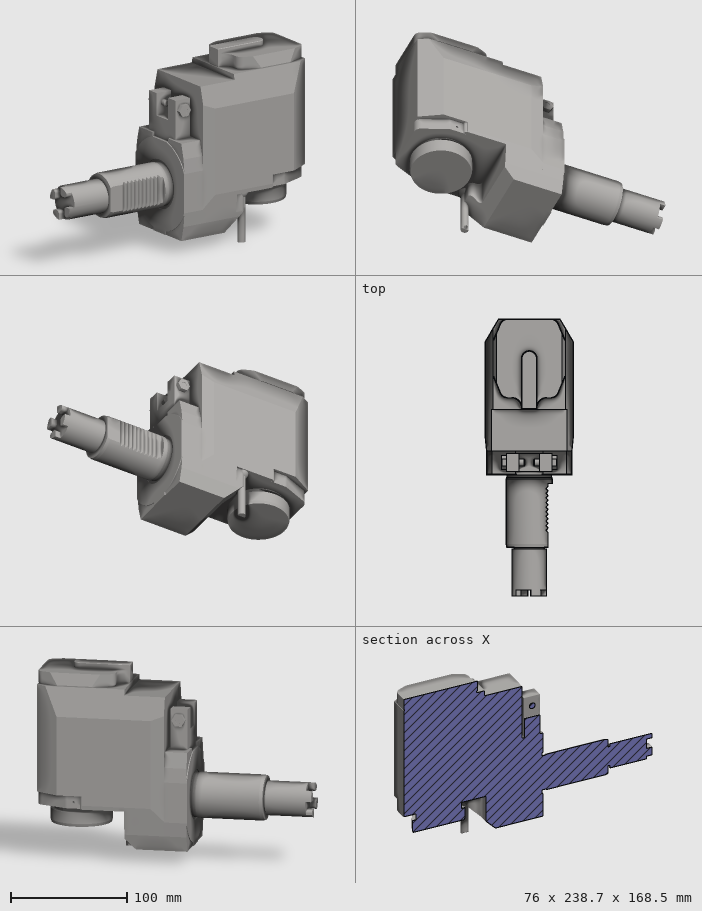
import cadquery as cq
import math


half_width = 38.0
housing_back = 134.2
housing_front = 20.3
housing_top = 97.0
step_top = 92.0
step_y = 56.1
housing_bottom = -9.5
taper_start_z = 71.7
top_taper = 0.263
lower_taper_z = -6.0
back_corner_x = 26.5
back_corner_y = 114.6
front_bevel = 1.2
front_bevel_y = 32.0

lump_bottom = -43.7
lump_shoulder_z = -30.3
lump_shoulder_x = 35.3
lump_bottom_x = 32.0
lump_back = 55.5
ramp_start_y = 45.9
boss_back = 66.0
boss_left = 16.7
boss_right = 35.8
boss_corner_radius = 4.5
boss_root_radius = 3.8

flange_front = 0.7
flange_half_width = 36.8
flange_side_z = 17.7
notch_half_width = 12.0
notch_bottom = 40.1
face_disc_radius = 41.5
face_bar_half_width = 8.8
seal_groove_diameter = 44.2
seal_groove_depth = 1.0

shank_diameter = 40.0
shank_end_diameter = 38.7
shank_relief_end = -2.1
shank_cone_end = -3.8
shank_chamfer_y = -59.7
shank_end = -62.5
neck_diameter = 26.0
drive_start = -63.8
drive_diameter = 30.0
drive_end = -104.5
flat_x = 16.2
flat_start = -7.6
tooth_count = 10
tooth_pitch = 4.0
tooth_depth = 1.7
first_tooth_y = -12.0
lug_length = 5.3
lug_near = 1.2
lug_far = 10.0
lug_root = 7.2
lug_corner_radius = 2.6

spindle_y = 100.3
plate_half_width = 34.6
plate_half_flat = 6.7
plate_half_length = housing_back - spindle_y
plate_end_x = 23.5
plate_corner_radius = 6.5
plate_side_radius = 4.8
plate_bottom = 98.0
plate_top = 108.5
plate_gap_inset = 0.5
key_half_width = 6.7
key_top = 113.5
key_front = 56.5
key_fillet = 8.8
key_chamfer = 0.5
foot_top = 2.1
recess_front = 92.2
recess_end_radius = 2.5
foot_hole_diameter = 2.1
foot_hole_z = -4.0
foot_hole_depth = 2.5

nose_neck_diameter = 47.8
nose_diameter = 54.0
nose_neck_end = -15.0
nose_bottom = -27.5
nose_chamfer = 0.7
nose_chamfer_height = 2.6
nose_flat_x = 20.5
nose_flat_top = -10.3

clevis_half_width = 19.8
clevis_back = 18.2
clevis_front = 2.9
clevis_top = 79.0
clevis_slot_half_width = 8.8
clevis_slot_bottom = 59.0
screw_y = 10.5
screw_z = 69.7
screw_head_flats = 10.3
screw_head_length = 4.0
screw_hole_diameter = 5.0
screw_hole_depth = 0.5
screw_tip_diameter = 6.0
screw_tip_length = 5.3
screw_tip_chamfer = 1.0

nozzle_x = 31.0
nozzle_y = 64.3
nozzle_diameter = 7.0
nozzle_bottom = -55.0
nozzle_cut = 2.5
nozzle_hole_diameter = 3.3
nozzle_hole_depth = 2.9
nozzle_ball_radius = 5.7

overlap = 2.5


def box(x0, x1, y0, y1, z0, z1):
    return cq.Workplane("XY").box(x1 - x0, y1 - y0, z1 - z0, centered=False).translate((x0, y0, z0))


def mirrored(half):
    """Closes an outline from its +X half by adding the reflected points."""
    return half + [(-x, v) for x, v in reversed(half)]


def prism_along_y(points, y_front, y_back):
    return cq.Workplane("XZ").polyline(points).close().extrude(y_front - y_back).translate((0, y_front, 0))


def cylinder_along_y(diameter, y_front, y_back):
    return cq.Workplane("XZ").circle(diameter / 2).extrude(y_front - y_back).translate((0, y_front, 0))


def cylinder_along_z(diameter, x, y, z_bottom, z_top):
    return cq.Workplane("XY").circle(diameter / 2).extrude(z_top - z_bottom).translate((x, y, z_bottom))


def cross_section():
    """Housing cross-section carried up to the top of the plate, so that the plate shares its taper."""
    top_x = half_width - top_taper * (plate_top - taper_start_z)
    half = [
        (top_x, plate_top),
        (half_width, taper_start_z),
        (half_width, lower_taper_z),
        (lump_shoulder_x, lump_shoulder_z),
        (lump_bottom_x, lump_bottom),
    ]
    return prism_along_y(mirrored(half), housing_front, housing_back)


def plate(z_bottom, z_top):
    """Plate outline centred on the spindle, with sloping shoulders and rounded corners."""
    half = [
        (plate_end_x, plate_half_length),
        (plate_half_width, plate_half_flat),
        (plate_half_width, -plate_half_flat),
        (plate_end_x, -plate_half_length),
    ]
    solid = cq.Workplane("XY").polyline(mirrored(half)).close().extrude(z_top - z_bottom)
    solid = solid.edges("|Z and (>X or <X)").fillet(plate_side_radius)
    solid = solid.edges("|Z and (>Y or <Y)").fillet(plate_corner_radius)
    return solid.translate((0, spindle_y, z_bottom))


def housing():
    corners = mirrored([
        (back_corner_x, housing_back),
        (half_width, back_corner_y),
        (half_width, front_bevel_y),
        (half_width - front_bevel, housing_front),
    ])
    plan = cq.Workplane("XY").polyline(corners).close()
    solid = plan.extrude(housing_top - housing_bottom).translate((0, 0, housing_bottom))
    return solid.cut(box(-half_width, half_width, housing_front, step_y, step_top, housing_top))


def foot_recess():
    """Band cut round the lower back of the housing, leaving the foot with the plate outline."""
    band = box(-half_width, half_width, recess_front, housing_back, housing_bottom, foot_top)
    band = band.cut(plate(housing_bottom, foot_top))
    for side in (-1, 1):
        inner = side * plate_half_width
        fill = (
            cq.Workplane("XY")
            .moveTo(inner, recess_front)
            .lineTo(inner, recess_front + recess_end_radius)
            .radiusArc((inner + side * recess_end_radius, recess_front), side * recess_end_radius)
            .close()
            .extrude(foot_top - housing_bottom)
        )
        band = band.cut(fill.translate((0, 0, housing_bottom)))
    return band


def lump():
    """Lower lump with a rounded boss at the nozzle and a 45 degree ramp under its back."""
    height = housing_bottom - lump_bottom
    plan = [
        (front_bevel - half_width, housing_front),
        (-half_width, front_bevel_y),
        (-half_width, lump_back),
        (boss_left, lump_back),
        (boss_left, boss_back),
        (boss_right, boss_back),
        (boss_right, lump_back),
        (half_width, lump_back),
        (half_width, front_bevel_y),
        (half_width - front_bevel, housing_front),
    ]
    solid = cq.Workplane("XY").polyline(plan).close().extrude(height)
    solid = solid.edges("|Z and >Y").fillet(boss_corner_radius)
    root = cq.selectors.NearestToPointSelector((boss_left, lump_back, height / 2))
    solid = solid.edges(root).fillet(boss_root_radius)
    ramp_rise = boss_back - ramp_start_y
    ramp = (
        cq.Workplane("YZ")
        .polyline([(ramp_start_y, 0), (boss_back, ramp_rise), (boss_back, 0)])
        .close()
        .extrude(half_width, both=True)
    )
    return solid.cut(ramp).translate((0, 0, lump_bottom))


def top_plate():
    """Tapered plate with a key stem at its front, raised on a slightly smaller spacer."""
    key_stem = box(-key_half_width, key_half_width, key_front, spindle_y, plate_bottom, plate_top)
    solid = plate(plate_bottom, plate_top).union(key_stem)
    plate_front = spindle_y - plate_half_length
    for side in (-1, 1):
        root = cq.selectors.NearestToPointSelector(
            (side * key_half_width, plate_front, (plate_bottom + plate_top) / 2)
        )
        solid = solid.edges(root).fillet(key_fillet)
    solid = solid.intersect(cross_section())
    underside = solid.faces("<Z").wires().val()
    spacer_outline = underside.offset2D(-plate_gap_inset)[0]
    spacer = cq.Workplane("XY").add(spacer_outline).toPending().extrude(housing_top - plate_bottom)
    return solid.union(spacer)


def key():
    bar = box(-key_half_width, key_half_width, key_front, spindle_y, plate_bottom, key_top)
    bar = bar.union(cylinder_along_z(2 * key_half_width, 0, spindle_y, plate_bottom, key_top))
    return bar.faces(">Z").edges().chamfer(key_chamfer)


def flange():
    half = [
        (lump_bottom_x, -lump_bottom),
        (lump_shoulder_x, -lump_shoulder_z),
        (flange_half_width, flange_side_z),
        (flange_half_width, -flange_side_z),
        (lump_shoulder_x, lump_shoulder_z),
        (lump_bottom_x, lump_bottom),
    ]
    outline = mirrored(half)
    disc = cylinder_along_y(2 * face_disc_radius, 0, flange_front)
    bar = box(-face_bar_half_width, face_bar_half_width, 0, flange_front, lump_bottom, 0)
    raised_face = disc.union(bar).intersect(prism_along_y(outline, 0, flange_front))
    solid = prism_along_y(outline, flange_front, housing_front).union(raised_face)
    notch = box(-notch_half_width, notch_half_width, 0, housing_front, notch_bottom, -lump_bottom)
    groove = cylinder_along_y(seal_groove_diameter, 0, seal_groove_depth)
    return solid.cut(notch).cut(groove)


def shank():
    neck_radius = neck_diameter / 2
    end_radius = shank_end_diameter / 2
    radius = shank_diameter / 2
    profile = [
        (0, flange_front + overlap),
        (end_radius, flange_front + overlap),
        (end_radius, shank_relief_end),
        (radius, shank_cone_end),
        (radius, shank_chamfer_y),
        (end_radius, shank_end),
        (neck_radius, shank_end),
        (neck_radius, drive_start),
        (drive_diameter / 2, drive_start),
        (drive_diameter / 2, drive_end),
        (0, drive_end),
    ]
    solid = cq.Workplane("XY").polyline(profile).close().revolve(360, (0, 0, 0), (0, 1, 0))
    flat = box(flat_x, shank_diameter, shank_end, flat_start, -shank_diameter, shank_diameter)
    solid = solid.cut(flat)
    for index in range(tooth_count):
        valley = first_tooth_y - index * tooth_pitch
        tooth_gap = [
            (flat_x, valley + tooth_pitch / 2),
            (flat_x - tooth_depth, valley),
            (flat_x, valley - tooth_pitch / 2),
        ]
        solid = solid.cut(cq.Workplane("XY").polyline(tooth_gap).close().extrude(shank_diameter, both=True))
    return solid.cut(drive_gaps())


def drive_gaps():
    """Material removed from the tip of the drive end to leave four round-rooted lugs."""
    lug_back = drive_end + lug_length
    gaps = cylinder_along_y(2 * drive_diameter, drive_end, lug_back)
    lug = box(lug_near, lug_far, drive_end, lug_back, lug_root, drive_diameter)
    lug = lug.edges("|Y and <Z").fillet(lug_corner_radius)
    for quarter in range(4):
        gaps = gaps.cut(lug.rotate((0, 0, 0), (0, 1, 0), 90 * quarter))
    return gaps


def spindle_nose():
    neck_radius = nose_neck_diameter / 2
    radius = nose_diameter / 2
    profile = [
        (0, housing_bottom + overlap),
        (neck_radius, housing_bottom + overlap),
        (neck_radius, nose_neck_end),
        (radius, nose_neck_end),
        (radius, nose_bottom + nose_chamfer_height),
        (radius - nose_chamfer, nose_bottom),
        (0, nose_bottom),
    ]
    solid = cq.Workplane("XZ").polyline(profile).close().revolve(360, (0, 0, 0), (0, 1, 0))
    for side in (-1, 1):
        flat = box(nose_flat_x, radius, -radius, radius, nose_neck_end, nose_flat_top)
        solid = solid.cut(flat if side > 0 else flat.mirror("YZ"))
    return solid.translate((0, spindle_y, 0))


def clevis():
    upright = box(-clevis_half_width, clevis_half_width, clevis_front, clevis_back, -lump_bottom, clevis_top)
    tongue = box(-notch_half_width, notch_half_width, clevis_front, clevis_back, notch_bottom, -lump_bottom)
    slot_side = clevis_slot_half_width
    slot = box(-slot_side, slot_side, clevis_front, clevis_back, clevis_slot_bottom, clevis_top)
    return upright.union(tongue).cut(slot)


def clevis_screw():
    """Screw in the +X arm: hexagon head outside, chamfered tip inside."""
    head_corners = screw_head_flats / math.cos(math.pi / 6)
    head = cq.Workplane("YZ").polygon(6, head_corners).extrude(screw_head_length)
    head = head.faces(">X").workplane().hole(screw_hole_diameter, screw_hole_depth)
    tip = cq.Workplane("YZ").circle(screw_tip_diameter / 2).extrude(-screw_tip_length)
    tip = tip.faces("<X").chamfer(screw_tip_chamfer)
    head = head.translate((clevis_half_width, screw_y, screw_z))
    return head.union(tip.translate((clevis_slot_half_width, screw_y, screw_z)))


def nozzle():
    """Coolant tube with a ball seat; its outlet is drilled square to a 45 degree cut at the tip."""
    radius = nozzle_diameter / 2
    tube = cylinder_along_z(nozzle_diameter, 0, 0, nozzle_bottom, housing_bottom + overlap)
    cut = [
        (-radius, nozzle_bottom),
        (-radius, nozzle_bottom + nozzle_cut),
        (nozzle_cut - radius, nozzle_bottom),
    ]
    tube = tube.cut(prism_along_y(cut, -radius, radius))
    cut_middle = cq.Vector(nozzle_cut / 2 - radius, 0, nozzle_bottom + nozzle_cut / 2)
    inward = cq.Vector(1, 0, 1)
    outlet = cq.Solid.makeCylinder(nozzle_hole_diameter / 2, nozzle_hole_depth, cut_middle, inward)
    tube = tube.cut(cq.Workplane(outlet))
    ball = cq.Workplane("XY").sphere(nozzle_ball_radius).translate((0, 0, housing_bottom))
    return tube.union(ball).translate((nozzle_x, nozzle_y, 0))


body = housing().union(lump()).intersect(cross_section()).cut(foot_recess())
foot_hole = cq.Workplane("YZ").circle(foot_hole_diameter / 2).extrude(foot_hole_depth)
foot_hole = foot_hole.translate((-plate_half_width, spindle_y, foot_hole_z))
body = body.cut(foot_hole).union(top_plate()).union(key())

screw = clevis_screw()
result = body.union(flange()).union(shank()).union(spindle_nose()).union(nozzle())
result = result.union(clevis()).union(screw).union(screw.mirror("YZ"))